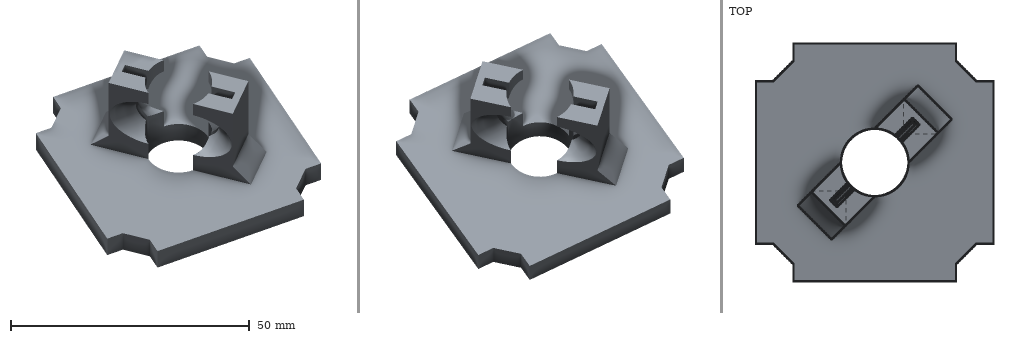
import cadquery as cq

plate_size = 49.8
plate_thickness = 5.0
edge_half_length = 17.05
notch_step = 3.65
center_bore_diameter = 14.1

total_height = 25.0
wall_angle = 45.0
wall_thickness = 10.0
wall_top_length = 27.5
foot_top_height = 9.0
wall_foot_length = wall_top_length + 2 * (foot_top_height - plate_thickness)

cross_bore_diameter = 12.0
cross_bore_height = 15.6

slot_top_length = 24.4
slot_top_width = 2.05
slot_side_inset = 0.65


def make_plate():
    """Square plate with a stepped diagonal notch at each corner."""
    half = plate_size / 2
    step = half - notch_step
    corner = [
        (half, edge_half_length),
        (step, edge_half_length),
        (edge_half_length, step),
        (edge_half_length, half),
    ]
    outline = []
    for _ in range(4):
        outline += corner
        corner = [(-y, x) for x, y in corner]
    return cq.Workplane("XY").polyline(outline).close().extrude(plate_thickness)


def make_wall():
    """Upright wall with feet flaring out at both ends."""
    top_half = wall_top_length / 2
    foot_half = wall_foot_length / 2
    profile = [
        (-foot_half, 0),
        (foot_half, 0),
        (foot_half, plate_thickness),
        (top_half, foot_top_height),
        (top_half, total_height),
        (-top_half, total_height),
        (-top_half, foot_top_height),
        (-foot_half, plate_thickness),
    ]
    wall = cq.Workplane("XZ").polyline(profile).close().extrude(wall_thickness / 2, both=True)
    return wall.rotate((0, 0, 0), (0, 0, 1), wall_angle)


def make_slot():
    """Slot narrowing from the wall top down to the plate surface."""
    slot = (
        cq.Workplane("XY", origin=(0, 0, plate_thickness))
        .rect(slot_top_length - 2 * slot_side_inset, slot_top_width - 2 * slot_side_inset)
        .workplane(offset=total_height - plate_thickness)
        .rect(slot_top_length, slot_top_width)
        .loft(ruled=True)
    )
    return slot.rotate((0, 0, 0), (0, 0, 1), wall_angle)


def make_cross_bore(plane):
    """Horizontal through bore, centred on the part axis."""
    return (
        cq.Workplane(plane, origin=(0, 0, cross_bore_height))
        .circle(cross_bore_diameter / 2)
        .extrude(plate_size / 2, both=True)
    )


center_bore = cq.Workplane("XY").circle(center_bore_diameter / 2).extrude(total_height)

result = make_plate().union(make_wall()).cut(center_bore).cut(make_slot())
for bore_plane in ("XZ", "YZ"):
    result = result.cut(make_cross_bore(bore_plane))